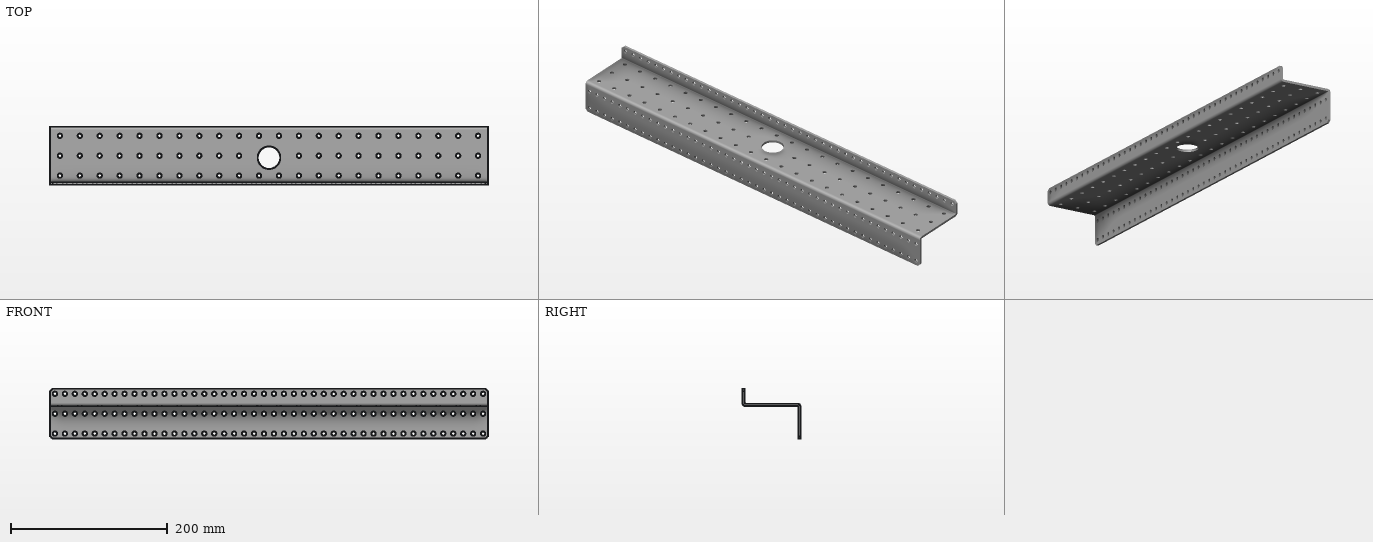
import cadquery as cq

length = 559.0
width = 74.5
height = 63.5

thickness = 3.2
inner_bend_radius = 0.85
outer_bend_radius = inner_bend_radius + thickness
web_top = 44.5
web_bottom = web_top - thickness
corner_cut = 3.5

hole_diameter = 5.3
hole_rows = 3
flange_columns = 44
flange_pitch = length / flange_columns
web_columns = flange_columns // 2
web_pitch = 2 * flange_pitch
row_spacing = web_pitch

opening_diameter = 28.5
opening_y = -2.5

front_face = -width / 2
back_face = width / 2


def bent_sheet():
    """Z profile in the YZ plane: upper flange in front, lower flange at the back."""
    outline = (
        cq.Workplane("YZ")
        .moveTo(front_face, web_bottom)
        .lineTo(back_face - thickness, web_bottom)
        .lineTo(back_face - thickness, 0)
        .lineTo(back_face, 0)
        .lineTo(back_face, web_top)
        .lineTo(front_face + thickness, web_top)
        .lineTo(front_face + thickness, height)
        .lineTo(front_face, height)
        .close()
    )
    sheet = outline.extrude(length / 2, both=True)
    bends = (
        (front_face, web_bottom, outer_bend_radius),
        (front_face + thickness, web_top, inner_bend_radius),
        (back_face, web_top, outer_bend_radius),
        (back_face - thickness, web_bottom, inner_bend_radius),
    )
    for y, z, radius in bends:
        sheet = sheet.edges(cq.NearestToPointSelector((0, y, z))).fillet(radius)
    for rim in (">Z", "<Z"):
        sheet = sheet.faces(rim).edges("|Y").chamfer(corner_cut)
    return sheet


def flange_holes():
    """Three rows of holes along Y: two in the lower flange and one in the upper."""
    return (
        cq.Workplane("XZ")
        .center(0, height / 2)
        .rarray(flange_pitch, row_spacing, flange_columns, hole_rows)
        .circle(hole_diameter / 2)
        .extrude(width, both=True)
    )


def web_holes():
    """Three rows of vertical holes; the middle row leaves out the two columns at the opening."""
    middle = (hole_rows - 1) / 2
    points = []
    for column in range(web_columns):
        x = (column - (web_columns - 1) / 2) * web_pitch
        for row in range(hole_rows):
            at_opening = row == middle and abs(x) < web_pitch
            if not at_opening:
                points.append((x, (row - middle) * row_spacing))
    return cq.Workplane("XY").pushPoints(points).circle(hole_diameter / 2).extrude(height)


def web_opening():
    return cq.Workplane("XY").center(0, opening_y).circle(opening_diameter / 2).extrude(height)


result = bent_sheet().cut(flange_holes()).cut(web_holes()).cut(web_opening())